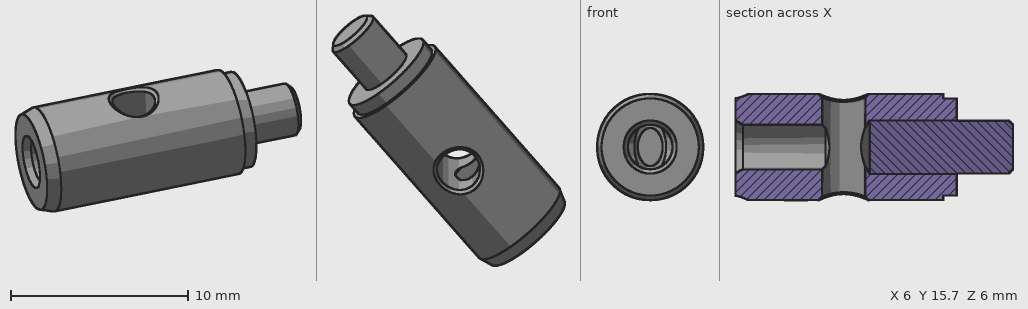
import cadquery as cq
import math

TOTAL_LENGTH = 15.67
HOUSING_LENGTH = 12.49
END_BAND = 0.75
HOUSING_DIAMETER = 6.0
END_DIAMETER = 5.48

CROSS_HOLE_DIAMETER = 2.41
CROSS_HOLE_Y = 6.11
CROSS_HOLE_CHAMFER = 0.2

DRILL_TIP_ANGLE = 118.0
BORE_DIAMETER = 2.5
BORE_DEPTH = 5.1
STUD_DIAMETER = 3.0
STUD_START_Y = 7.57

STUD_CHAMFER = 0.25
BORE_MOUTH_DIAMETER = STUD_DIAMETER
BORE_MOUTH_DEPTH = 0.42


def turned(profile):
    """Revolve (radius, y) points, starting and ending on the axis, about the Y axis."""
    return cq.Workplane("XY").polyline(profile).close().revolve(360, (0, 0), (0, 1))


def tip_length(radius):
    return radius / math.tan(math.radians(DRILL_TIP_ANGLE / 2))


def make_blank():
    radius = HOUSING_DIAMETER / 2
    end_radius = END_DIAMETER / 2
    collar_start = HOUSING_LENGTH - END_BAND
    return turned([
        (0, 0),
        (end_radius, 0),
        (radius, END_BAND),
        (radius, collar_start),
        (end_radius, collar_start),
        (end_radius, HOUSING_LENGTH),
        (0, HOUSING_LENGTH),
    ])


def make_cross_hole():
    return (
        cq.Workplane("XY")
        .center(0, CROSS_HOLE_Y)
        .circle(CROSS_HOLE_DIAMETER / 2)
        .extrude(HOUSING_DIAMETER / 2, both=True)
    )


def make_front_bore():
    radius = BORE_DIAMETER / 2
    return turned([
        (0, 0),
        (BORE_MOUTH_DIAMETER / 2, 0),
        (radius, BORE_MOUTH_DEPTH),
        (radius, BORE_DEPTH),
        (0, BORE_DEPTH + tip_length(radius)),
    ])


def make_stud_hole():
    radius = STUD_DIAMETER / 2
    return turned([
        (0, STUD_START_Y - tip_length(radius)),
        (radius, STUD_START_Y),
        (radius, HOUSING_LENGTH),
        (0, HOUSING_LENGTH),
    ])


def make_housing():
    drilled = make_blank().cut(make_cross_hole())
    mouth_reach = CROSS_HOLE_DIAMETER
    mouths = cq.selectors.BoxSelector(
        (-mouth_reach, CROSS_HOLE_Y - mouth_reach, -HOUSING_DIAMETER),
        (mouth_reach, CROSS_HOLE_Y + mouth_reach, HOUSING_DIAMETER),
        boundingbox=True,
    )
    chamfered = drilled.edges(mouths).edges("not |Z").chamfer(CROSS_HOLE_CHAMFER)
    return chamfered.cut(make_front_bore()).cut(make_stud_hole()).solids()


def make_stud():
    radius = STUD_DIAMETER / 2
    return turned([
        (0, STUD_START_Y),
        (radius, STUD_START_Y),
        (radius, TOTAL_LENGTH - STUD_CHAMFER),
        (radius - STUD_CHAMFER, TOTAL_LENGTH),
        (0, TOTAL_LENGTH),
    ])


housing = make_housing()
stud = make_stud()
result = cq.Compound.makeCompound([housing.val(), stud.val()])